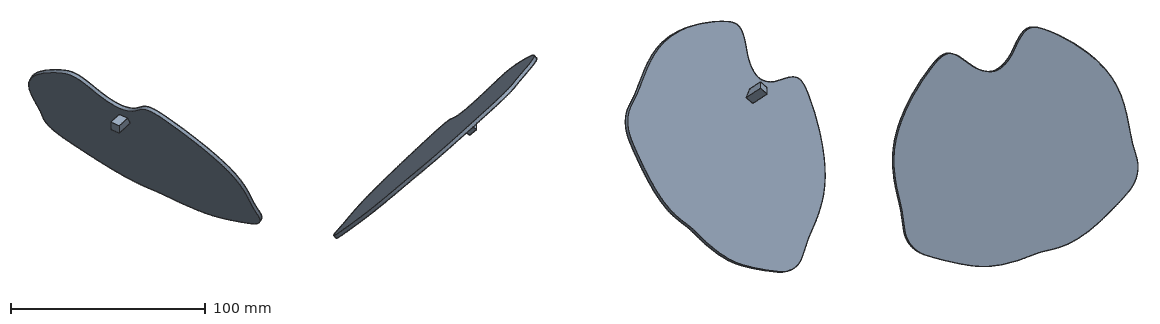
import cadquery as cq
import math

LEAN_ANGLE = 25.4
PLATE_THICKNESS = 2.0

PEG_WIDTH = 5.2
PEG_HEIGHT = 5.0
PEG_CENTRE_Z = 78.9
PEG_TIP_Y = -46.0

BOTTOM_CENTRE = (0, 0.4)
NOTCH_CENTRE = (0, 99.2)
HALF_OUTLINE = [
    (14.5, 0),
    (28.4, 2.2),
    (40.5, 7.0),
    (55.0, 14.8),
    (62.8, 20.6),
    (67.2, 29.6),
    (66.8, 38.5),
    (66.8, 56.4),
    (65.8, 67.3),
    (63.8, 75.1),
    (55.9, 89.8),
    (45.0, 102.0),
    (33.4, 111.4),
    (23.1, 115.3),
    (16.8, 111.3),
    (10.1, 103.9),
    (4.8, 100.4),
]


def make_plate():
    """Leaning plate, symmetric about the YZ plane."""
    mirrored_half = [(-across, up) for across, up in reversed(HALF_OUTLINE)]
    outline = [BOTTOM_CENTRE] + HALF_OUTLINE + [NOTCH_CENTRE] + mirrored_half
    upright = (
        cq.Workplane("XZ")
        .spline(outline, periodic=True)
        .close()
        .extrude(-PLATE_THICKNESS)
    )
    return upright.rotate((0, 0, 0), (1, 0, 0), LEAN_ANGLE)


def make_peg():
    """Peg along Y whose root follows the lean and ends at the plate's mid-thickness."""
    lean = math.radians(LEAN_ANGLE)
    bottom_z = PEG_CENTRE_Z - PEG_HEIGHT / 2
    top_z = PEG_CENTRE_Z + PEG_HEIGHT / 2
    embed = PLATE_THICKNESS / 2 / math.cos(lean)
    side_profile = [
        (PEG_TIP_Y, bottom_z),
        (embed - bottom_z * math.tan(lean), bottom_z),
        (embed - top_z * math.tan(lean), top_z),
        (PEG_TIP_Y, top_z),
    ]
    return cq.Workplane("YZ").polyline(side_profile).close().extrude(PEG_WIDTH / 2, both=True)


result = make_plate().union(make_peg())